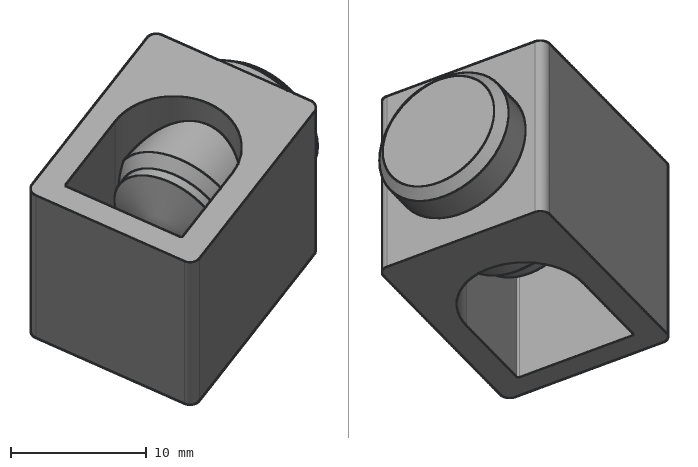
import cadquery as cq

WIDTH = 14.28
HEIGHT = 15.89
LENGTH = 18.25
CORNER_RADIUS = 0.8

POCKET_WIDTH = 10.0
POCKET_START = 1.89
POCKET_END = 14.2
POCKET_CORNER_RADIUS = 0.15
POCKET_RADIUS = POCKET_WIDTH / 2
POCKET_ARC_CENTER = POCKET_END - POCKET_RADIUS

TOTAL_LENGTH = 21.45
SCREW_DIAMETER = 11.1
SCREW_NOSE_DIAMETER = 9.4
SCREW_BEVEL_LENGTH = (SCREW_DIAMETER - SCREW_NOSE_DIAMETER) / 2
OUTER_CHAMFER = 0.77
NOSE_LENGTH = 0.8
TIP_LENGTH = 1.42
TIP_Y = 7.16

CONE_BASE_Y = TIP_Y + TIP_LENGTH
NOSE_TOP_Y = CONE_BASE_Y + NOSE_LENGTH
SCREW_SHOULDER_Y = NOSE_TOP_Y + SCREW_BEVEL_LENGTH


def make_housing(screw):
    """Rounded block with a through pocket and a bore for the screw."""
    block = (
        cq.Workplane("XY")
        .box(WIDTH, LENGTH, HEIGHT, centered=(True, False, True))
        .edges("|Z")
        .fillet(CORNER_RADIUS)
    )
    pocket = (
        cq.Workplane("XY", origin=(0, 0, -HEIGHT / 2))
        .moveTo(-POCKET_RADIUS, POCKET_START)
        .lineTo(POCKET_RADIUS, POCKET_START)
        .lineTo(POCKET_RADIUS, POCKET_ARC_CENTER)
        .threePointArc((0, POCKET_END), (-POCKET_RADIUS, POCKET_ARC_CENTER))
        .close()
        .extrude(HEIGHT)
        .edges("|Z and <Y")
        .fillet(POCKET_CORNER_RADIUS)
    )
    return block.cut(pocket).cut(screw)


def make_screw():
    """Cylindrical screw with chamfered ends, a short nose and a conical tip."""
    screw_radius = SCREW_DIAMETER / 2
    end_radius = screw_radius - OUTER_CHAMFER
    nose_radius = SCREW_NOSE_DIAMETER / 2
    half_profile = [
        (0, TIP_Y),
        (nose_radius, CONE_BASE_Y),
        (nose_radius, NOSE_TOP_Y),
        (screw_radius, SCREW_SHOULDER_Y),
        (screw_radius, TOTAL_LENGTH - OUTER_CHAMFER),
        (end_radius, TOTAL_LENGTH),
        (0, TOTAL_LENGTH),
    ]
    return cq.Workplane("XY").polyline(half_profile).close().revolve(360, (0, 0), (0, 1))


screw = make_screw()
housing = make_housing(screw)

result = cq.Compound.makeCompound([housing.val(), screw.val()])